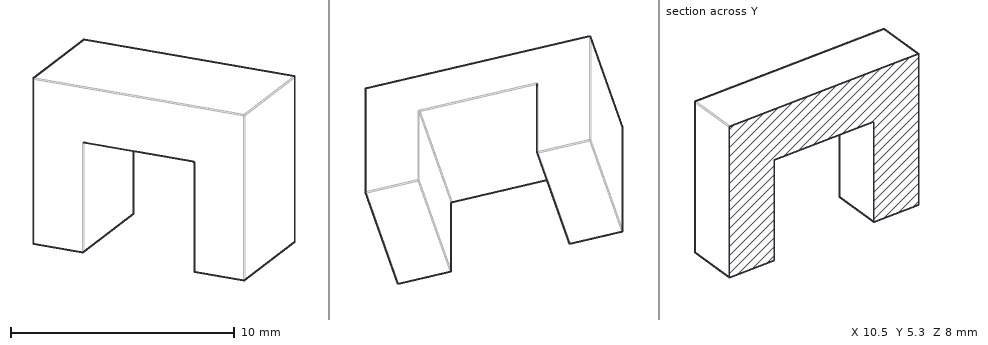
import cadquery as cq

width = 10.5
depth = 5.3
height = 8.0

slot_width = 5.5
bridge_thickness = 2.7
slot_height = height - bridge_thickness

edge_radius = 0.05


def make_block():
    """Solid block centred on the origin."""
    return cq.Workplane("XY").box(width, depth, height)


def make_slot():
    """Cutter for the slot, running through the full depth."""
    slot_center_z = (slot_height - height) / 2
    return (
        cq.Workplane("XY")
        .box(slot_width, depth, slot_height)
        .translate((0, 0, slot_center_z))
    )


core = make_block().cut(make_slot())
result = core.edges().fillet(edge_radius)